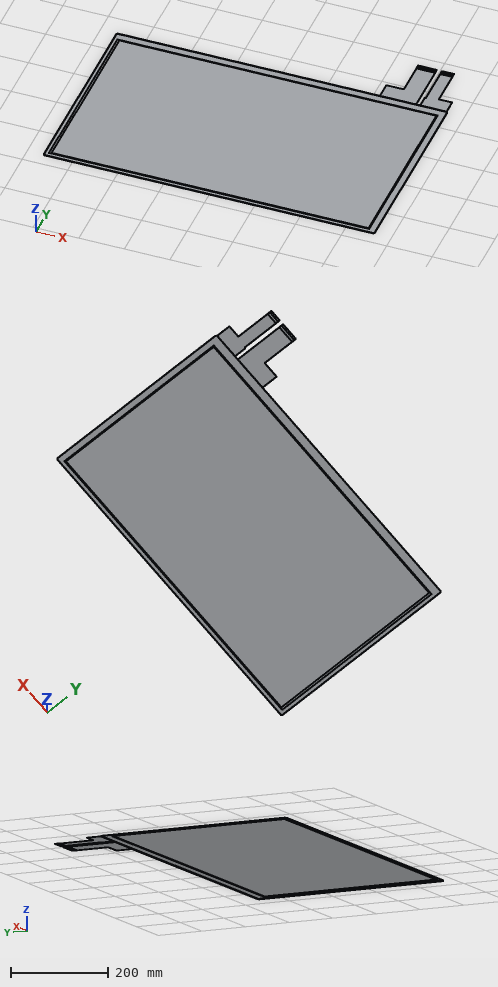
import cadquery as cq

panel_width = 726.0
panel_depth = 425.0
panel_thickness = 1.8
corner_chamfer = 2.0

total_height = 2.3
lower_sheet_thickness = 0.3
upper_sheet_thickness = total_height - panel_thickness - lower_sheet_thickness
lower_sheet_left = 9.0
lower_sheet_right = 712.0
lower_sheet_front = 9.0
lower_sheet_back = 406.0
upper_sheet_inset = 2.0
upper_sheet_left_inset = 5.0

tail_end = 545.5
tail_bottom = 0.9
tail_thickness = 0.4
tail_overlap = 2.0
tail_root = panel_depth - tail_overlap
left_shoulder_left = 577.5
left_strip_left = 616.0
left_strip_right = 657.0
left_shoulder_back = 463.0
right_shoulder_left = 666.0
right_strip_left = 668.0
right_strip_right = 695.0
right_shoulder_right = 724.0
right_shoulder_back = 457.5
right_notch_back = 452.5

stiffener_length = 10.0
stiffener_thickness = 0.4
film_setback = 4.0


def block(left, right, front, back, bottom, thickness):
    """Rectangular plate given by its edges, its underside and its thickness."""
    plate = cq.Workplane("XY").box(right - left, back - front, thickness, centered=False)
    return plate.translate((left, front, bottom))


def tail(outline, strip_left, strip_right):
    """Flat tail with a stiffener plate on the end of its strip."""
    film = cq.Workplane("XY").workplane(offset=tail_bottom).polyline(outline).close().extrude(tail_thickness)
    stiffener = block(
        strip_left, strip_right, tail_end - stiffener_length, tail_end,
        tail_bottom + tail_thickness, stiffener_thickness,
    )
    return film.union(stiffener)


panel = block(0, panel_width, 0, panel_depth, 0, panel_thickness).edges("|Z").chamfer(corner_chamfer)

lower_sheet = block(
    lower_sheet_left, lower_sheet_right, lower_sheet_front, lower_sheet_back,
    panel_thickness, lower_sheet_thickness,
)
upper_sheet = block(
    lower_sheet_left + upper_sheet_left_inset,
    lower_sheet_right - upper_sheet_inset,
    lower_sheet_front + upper_sheet_inset,
    lower_sheet_back - upper_sheet_inset,
    panel_thickness + lower_sheet_thickness,
    upper_sheet_thickness,
)

film_end = tail_end - film_setback

left_tail = tail(
    [
        (left_shoulder_left, tail_root),
        (left_strip_right, tail_root),
        (left_strip_right, film_end),
        (left_strip_left, film_end),
        (left_strip_left, left_shoulder_back),
        (left_shoulder_left, left_shoulder_back),
    ],
    left_strip_left, left_strip_right,
)

right_tail = tail(
    [
        (right_shoulder_left, tail_root),
        (right_shoulder_right, tail_root),
        (right_shoulder_right, right_shoulder_back),
        (right_strip_right, right_shoulder_back),
        (right_strip_right, film_end),
        (right_strip_left, film_end),
        (right_strip_left, right_notch_back),
        (right_shoulder_left, right_notch_back),
    ],
    right_strip_left, right_strip_right,
)

result = panel.union(lower_sheet).union(upper_sheet).union(left_tail).union(right_tail)